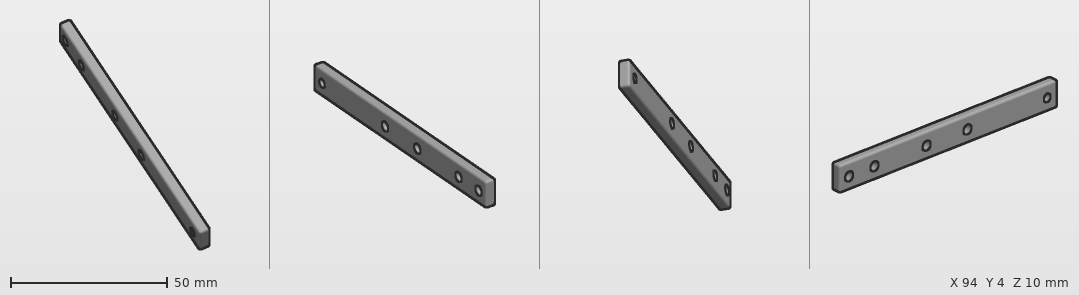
import cadquery as cq

length = 94.0
thickness = 4.0
height = 10.0
edge_radius = 0.9

large_diameter = 3.5
small_diameter = 3.0
large_hole_offsets = [4.0, 14.9, 37.4, 55.0]
small_hole_offset = 89.3


def through_hole(offset, diameter):
    """Cylinder along Y that crosses the full thickness of the bar."""
    return (
        cq.Workplane("XZ")
        .center(offset - length / 2, 0)
        .circle(diameter / 2)
        .extrude(thickness, both=True)
    )


result = cq.Workplane("XY").box(length, thickness, height).edges().fillet(edge_radius)

for hole_offset in large_hole_offsets:
    result = result.cut(through_hole(hole_offset, large_diameter))
result = result.cut(through_hole(small_hole_offset, small_diameter))